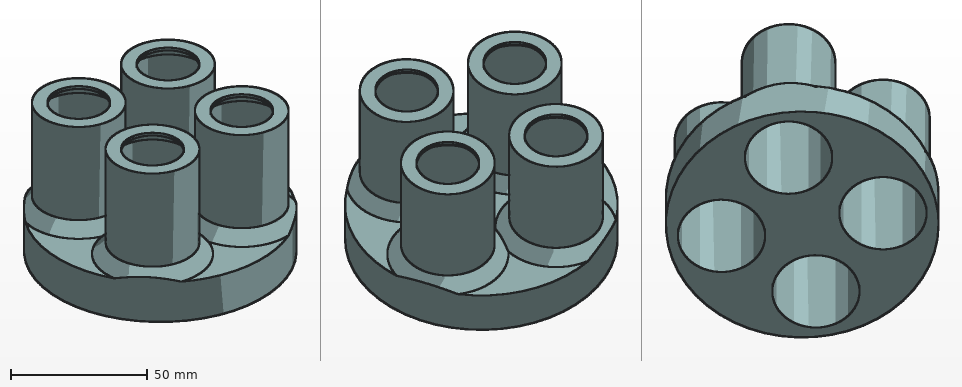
import cadquery as cq
import math

base_diameter = 100
base_height = 17

total_height = 62
tube_diameter = 34.4
pitch_diameter = 60
tube_count = 4
first_tube_angle = 45

foot_height = 5

mouth_diameter = 23
mouth_depth = 1.2
passage_diameter = 32


def cylinder(diameter, height):
    """Upright cylinder on the Z axis, standing on the ground plane."""
    return cq.Workplane("XY").circle(diameter / 2).extrude(height)


def tube_with_foot():
    """Solid tube with its flared foot, standing on the Z axis."""
    foot_top = base_height + foot_height
    tube_radius = tube_diameter / 2
    foot = (
        cq.Workplane("XZ")
        .moveTo(0, base_height)
        .lineTo(tube_radius + foot_height, base_height)
        .lineTo(tube_radius, foot_top)
        .lineTo(0, foot_top)
        .close()
        .revolve(360, (0, 0, 0), (0, 1, 0))
    )
    return cylinder(tube_diameter, total_height).union(foot)


def bore():
    """Wide passage from below, a 45 degree shoulder and the narrow mouth."""
    mouth_radius = mouth_diameter / 2
    passage_radius = passage_diameter / 2
    shoulder_top = total_height - mouth_depth
    shoulder_bottom = shoulder_top - (passage_radius - mouth_radius)
    return (
        cq.Workplane("XZ")
        .moveTo(0, 0)
        .lineTo(passage_radius, 0)
        .lineTo(passage_radius, shoulder_bottom)
        .lineTo(mouth_radius, shoulder_top)
        .lineTo(mouth_radius, total_height)
        .lineTo(0, total_height)
        .close()
        .revolve(360, (0, 0, 0), (0, 1, 0))
    )


def tube_centres():
    """Positions of the tube axes around the base."""
    radius = pitch_diameter / 2
    angles = [math.radians(first_tube_angle + i * 360 / tube_count) for i in range(tube_count)]
    return [(radius * math.cos(a), radius * math.sin(a), 0) for a in angles]


body = cylinder(base_diameter, base_height)
for centre in tube_centres():
    body = body.union(tube_with_foot().translate(centre))

body = body.intersect(cylinder(base_diameter, total_height))

for centre in tube_centres():
    body = body.cut(bore().translate(centre))

result = body